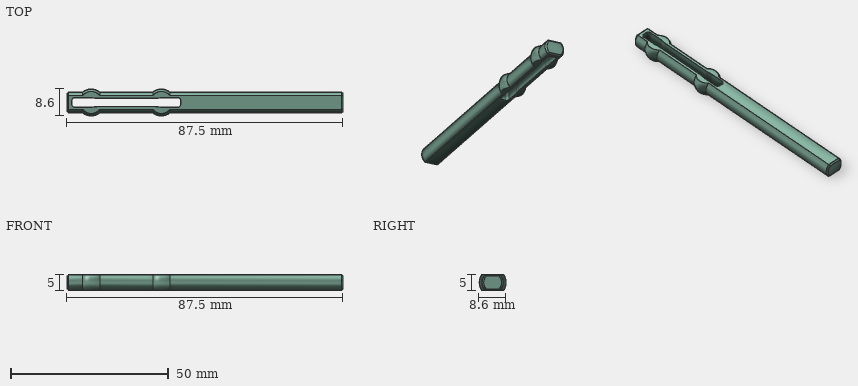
import cadquery as cq

length = 87.5
rod_radius = 3.3
thickness = 5.0
end_chamfer = 0.48

bulge_radius = 4.3
first_bulge_x = 7.6
bulge_spacing = 22.2
bulge_centers = [first_bulge_x, first_bulge_x + bulge_spacing]

slot_start = 1.5
slot_end = 36.0
slot_wide = 3.0
slot_narrow = 2.5
slot_corner_radius = 1.0
taper_length = 2.0
taper_overhang = 0.3


def make_flattened_rod():
    """Round rod with spherical bulges, cut to two parallel flats, with chamfered ends."""
    rod = cq.Workplane("YZ").circle(rod_radius).extrude(length)
    flats = cq.Workplane("XY").box(length, 2 * bulge_radius, thickness, centered=(False, True, True))
    rod = rod.intersect(flats).faces("<X or >X").chamfer(end_chamfer)
    for center_x in bulge_centers:
        bulge = cq.Workplane("XY").sphere(bulge_radius).translate((center_x, 0, 0))
        rod = rod.union(bulge.intersect(flats))
    return rod


def make_slot():
    """Long slot that tapers from its wide ends to a narrower middle."""
    half_wide = slot_wide / 2
    half_narrow = slot_narrow / 2
    taper_in = bulge_centers[0] - taper_overhang
    taper_out = bulge_centers[1] + taper_overhang
    upper_side = [
        (slot_start, half_wide),
        (taper_in, half_wide),
        (taper_in + taper_length, half_narrow),
        (taper_out - taper_length, half_narrow),
        (taper_out, half_wide),
        (slot_end, half_wide),
    ]
    lower_side = [(x, -y) for x, y in reversed(upper_side)]
    slot = (
        cq.Workplane("XY")
        .polyline(upper_side + lower_side)
        .close()
        .extrude(thickness / 2, both=True)
    )
    end_corners = slot.faces("<X or >X").edges("|Z")
    return slot.newObject(end_corners.vals()).fillet(slot_corner_radius)


result = make_flattened_rod().cut(make_slot())